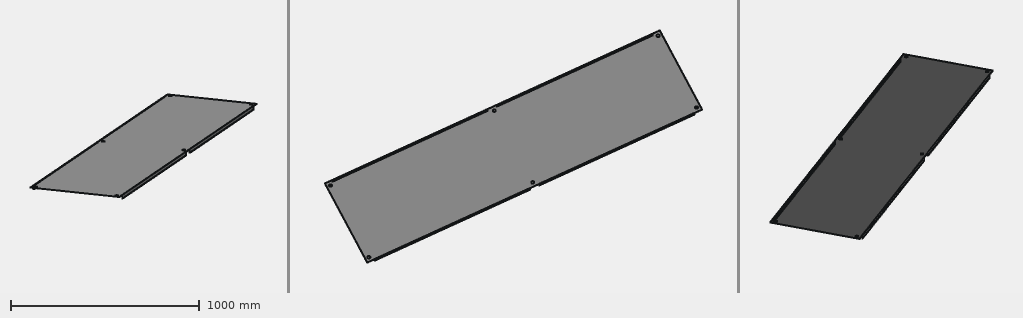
import cadquery as cq

length = 1981.0
width = 507.0
height = 22.0
thickness = 2.0

flange_end_inset = 44.0
flange_middle_gap = 53.0
flange_length = (length - flange_middle_gap) / 2 - flange_end_inset
flange_center_y = (flange_middle_gap + flange_length) / 2

hole_diameter = 14.3
hole_spacing_x = 460.0
hole_spacing_y = 969.0


def side_flange(side, end):
    """Flange under one half of a long edge; side and end are -1 or +1."""
    return (
        cq.Workplane("XY")
        .box(thickness, flange_length, height, centered=(True, True, False))
        .translate((side * (width - thickness) / 2, end * flange_center_y, 0))
    )


result = cq.Workplane("XY").box(width, length, thickness).translate((0, 0, height - thickness / 2))

for side in (-1, 1):
    for end in (-1, 1):
        result = result.union(side_flange(side, end))

result = (
    result.faces(">Z")
    .workplane(origin=(0, 0, height))
    .rarray(hole_spacing_x, hole_spacing_y, 2, 3)
    .hole(hole_diameter)
)